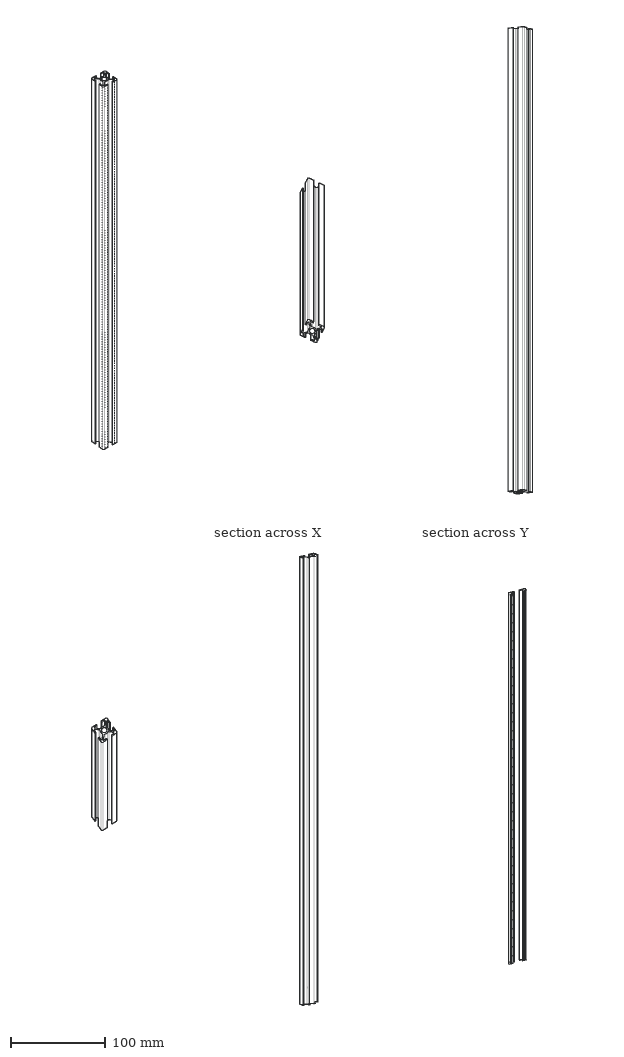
import cadquery as cq

SIZE = 20.0
LENGTH = 500.0
CORNER_RADIUS = 1.3

SLOT_OPENING = 6.2
LIP_THICKNESS = 1.4
CHAMBER_WIDTH = 13.2

CORE_DIAMETER = 8.7
BORE_DIAMETER = 5.5
WEB_THICKNESS = 1.45
WEB_ROOT_RADIUS = 1.4
WEB_ANGLES = (45, 135)

LIP_TO_LIP = SIZE - 2 * LIP_THICKNESS


def bar(width, depth):
    """Full-length rectangular bar centred on the part's axis."""
    return cq.Workplane("XY").rect(width, depth).extrude(LENGTH)


def rod(diameter):
    """Full-length round rod centred on the part's axis."""
    return cq.Workplane("XY").circle(diameter / 2).extrude(LENGTH)


def crossed_bars(width, depth):
    """Two equal bars, one along X and one along Y."""
    return bar(width, depth).union(bar(depth, width))


def core_with_webs():
    """Round core joined to its diagonal webs by concave fillets."""
    core = rod(CORE_DIAMETER)
    for angle in WEB_ANGLES:
        web = bar(SIZE, WEB_THICKNESS).rotate((0, 0, 0), (0, 0, 1), angle)
        core = core.union(web)
    half = CORE_DIAMETER / 2
    root_zone = cq.selectors.BoxSelector((-half, -half, 0), (half, half, LENGTH))
    return core.edges("|Z").edges(root_zone).fillet(WEB_ROOT_RADIUS)


def slot_space():
    """Space taken up by the four slots, with the core and webs left standing."""
    chambers = crossed_bars(CHAMBER_WIDTH, LIP_TO_LIP)
    openings = crossed_bars(SLOT_OPENING, SIZE)
    return chambers.union(openings).cut(core_with_webs())


blank = bar(SIZE, SIZE).edges("|Z").fillet(CORNER_RADIUS)
result = blank.cut(slot_space()).cut(rod(BORE_DIAMETER))